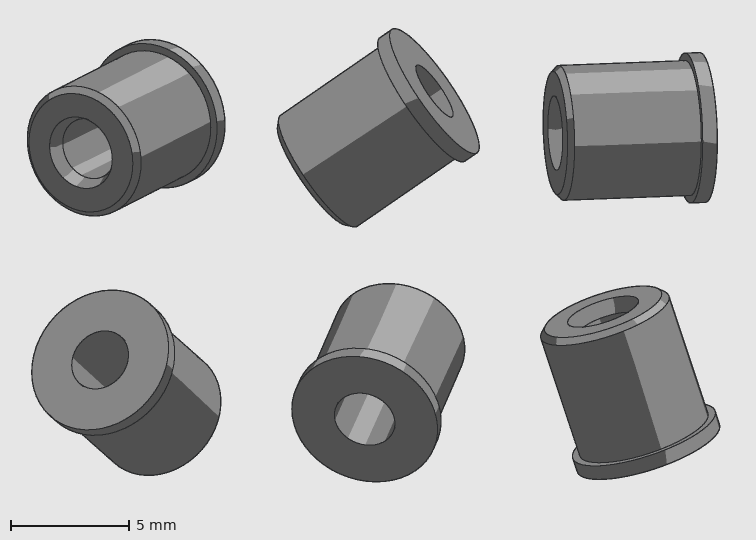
import cadquery as cq

length = 6.35
flange_diameter = 6.35
flange_thickness = 0.635
body_diameter = 5.715
bore_diameter = 2.635
nose_chamfer = 0.255
lead_in_radial = 0.255
lead_in_depth = 0.635


def cylinder(diameter, height):
    """Cylinder on the Y axis, starting at the nose and extending toward +Y."""
    return cq.Workplane("XZ").circle(diameter / 2).extrude(-height)


body = cylinder(body_diameter, length)
flange = cylinder(flange_diameter, flange_thickness).translate((0, length - flange_thickness, 0))
bore = cylinder(bore_diameter, length)

bushing = body.faces("<Y").chamfer(nose_chamfer).union(flange).cut(bore)

bore_radius = bore_diameter / 2
lead_in = (
    cq.Workplane("XY")
    .polyline([(0, 0), (bore_radius + lead_in_radial, 0), (bore_radius, lead_in_depth), (0, lead_in_depth)])
    .close()
    .revolve(360, (0, 0, 0), (0, 1, 0))
)
result = bushing.cut(lead_in)